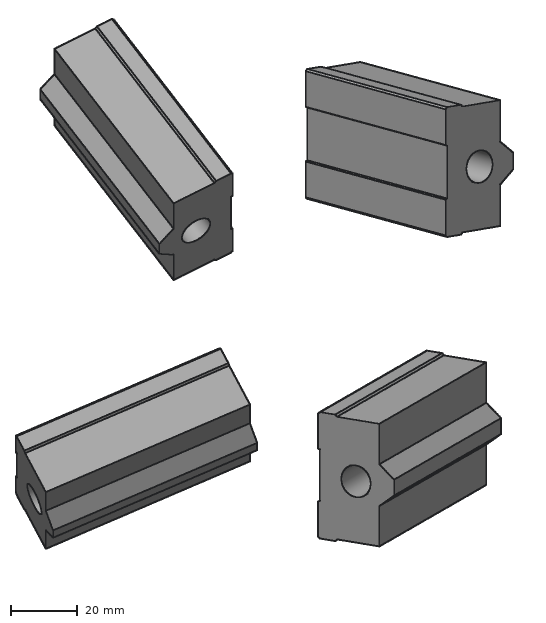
import cadquery as cq

length = 68.0
depth = 26.0
height = 40.0

nose_depth = 5.0
nose_tip_height = 5.0
nose_base_height = 13.2
step = 0.6
pad_width = 6.5
recess_height = 16.85
recess_slope = 0.35
bore_diameter = 10.0

back = depth / 2
nose_tip = -depth / 2
body_front = nose_tip + nose_depth
pad_front = back - pad_width
top = height / 2
body_top = top - step

upper_half = [
    (nose_tip, nose_tip_height / 2),
    (body_front, nose_base_height / 2),
    (body_front, body_top),
    (pad_front, body_top),
    (pad_front + step, top),
    (back - step, top),
    (back, top - step),
    (back, recess_height / 2),
    (back - step, recess_height / 2 - recess_slope),
]
lower_half = [(y, -z) for y, z in reversed(upper_half)]

block = (
    cq.Workplane("YZ")
    .polyline(upper_half + lower_half)
    .close()
    .extrude(length / 2, both=True)
)

bore = cq.Workplane("YZ").circle(bore_diameter / 2).extrude(length / 2, both=True)

result = block.cut(bore)